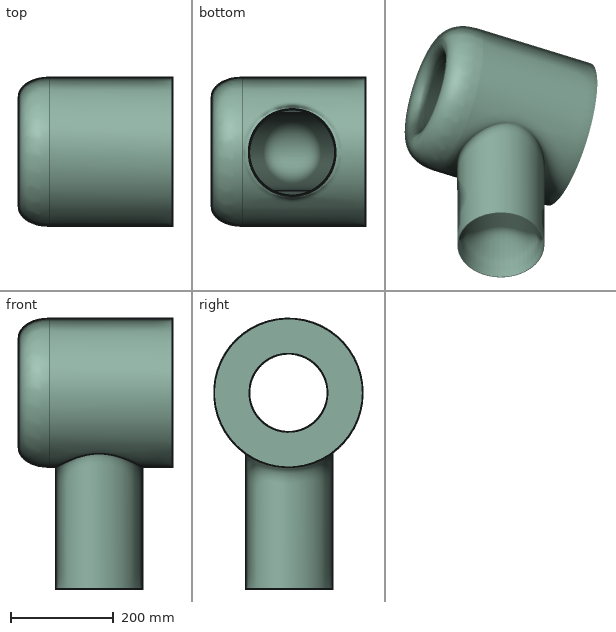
import cadquery as cq

barrel_length = 299.0
barrel_radius = 144.5
lip_length = 59.5
mouth_radius = 106.0
throat_radius = 75.5
throat_depth = 25.0

stem_radius = 84.5
stem_wall = 1.5
stem_center_x = 156.5
stem_center_y = 1.5
stem_bottom_z = barrel_radius - 526


def make_barrel():
    """Solid of revolution: elliptical lip curving into a straight through bore."""
    outer_rise = barrel_radius - mouth_radius
    inner_drop = mouth_radius - throat_radius
    return (
        cq.Workplane("XY")
        .moveTo(lip_length, barrel_radius)
        .ellipseArc(lip_length, outer_rise, 90, 180, startAtCurrent=True)
        .ellipseArc(throat_depth, inner_drop, 180, 270, startAtCurrent=True)
        .lineTo(barrel_length, throat_radius)
        .lineTo(barrel_length, barrel_radius)
        .close()
        .revolve(360, (0, 0, 0), (1, 0, 0))
    )


def make_stem_cylinder(radius):
    """Vertical cylinder from the stem's foot up to the barrel axis."""
    return (
        cq.Workplane("XY", origin=(stem_center_x, stem_center_y, stem_bottom_z))
        .circle(radius)
        .extrude(-stem_bottom_z)
    )


stem_passage = make_stem_cylinder(stem_radius - stem_wall)
barrel_bore = cq.Workplane("YZ").circle(throat_radius).extrude(barrel_length)
stem = make_stem_cylinder(stem_radius).cut(barrel_bore)

result = make_barrel().union(stem).cut(stem_passage)